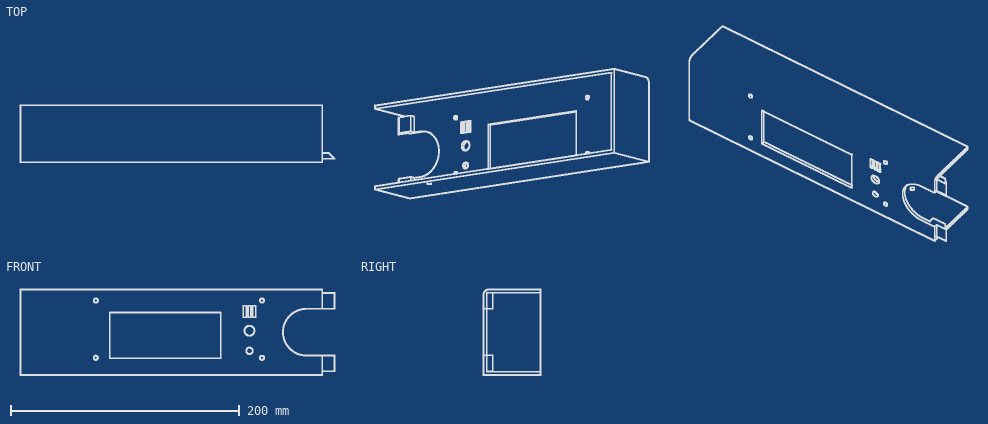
import cadquery as cq

total_length = 275.0
depth = 50.0
height = 75.0
wall = 3.0
edge_radius = 5.0
mid_height = height / 2

tab_reach = 10.7
tab_inset = 7.5
tab_thickness = 5.2
tab_height = 14.0
body_length = total_length - tab_reach

notch_radius = 20.3
notch_center_x = 250.2

window_left = 78.5
window_bottom = 14.8
window_length = 96.8
window_height = 40.0
screw_diameter = 3.5
screw_columns = (66.0, 211.5)
screw_rows = (15.0, 65.2)

floor_screw_y = 40.5

controls_x = 200.5
button_diameter = 8.5
button_z = 38.8
lamp_diameter = 5.5
lamp_z = 21.2
slot_width = 2.5
slot_height = 10.0
slot_pitch = 4.0
slot_z = 55.5
slot_count = 3


def box(x, y, z, length, width, tall):
    """Box with its minimum corner at (x, y, z)."""
    return cq.Workplane("XY").box(length, width, tall, centered=False).translate((x, y, z))


def front_cutter(x, z, diameter):
    """Round cutter through the front wall only."""
    return cq.Workplane("XZ").center(x, z).circle(diameter / 2).extrude(-wall)


def make_shell():
    outer = box(0, 0, 0, body_length, depth, height)
    outer = outer.edges("|X and <Y and >Z").fillet(edge_radius)
    cavity = box(wall, wall, wall, body_length, depth, height - 2 * wall)
    cavity = cavity.edges("|X and <Y and >Z").fillet(edge_radius - wall)
    return outer.cut(cavity)


def make_tab(bottom):
    """Snap tab with a bevelled tip, flush with the inside of the front wall."""
    start = body_length - tab_inset
    back = wall + tab_thickness
    return (
        cq.Workplane("XY", origin=(0, 0, bottom))
        .moveTo(start, wall)
        .lineTo(total_length, wall)
        .lineTo(total_length - tab_thickness, back)
        .lineTo(start, back)
        .close()
        .extrude(tab_height)
    )


def make_notch():
    round_end = front_cutter(notch_center_x, mid_height, 2 * notch_radius)
    opening = box(
        notch_center_x, 0, mid_height - notch_radius,
        body_length - notch_center_x, wall, 2 * notch_radius,
    )
    return round_end.union(opening)


result = make_shell().cut(make_notch())

result = result.cut(box(window_left, 0, window_bottom, window_length, wall, window_height))

for screw_x in screw_columns:
    for screw_z in screw_rows:
        result = result.cut(front_cutter(screw_x, screw_z, screw_diameter))

result = result.cut(front_cutter(controls_x, button_z, button_diameter))
result = result.cut(front_cutter(controls_x, lamp_z, lamp_diameter))

for index in range(slot_count):
    slot_x = controls_x + (index - (slot_count - 1) / 2) * slot_pitch
    slot_left = slot_x - slot_width / 2
    slot_bottom = slot_z - slot_height / 2
    result = result.cut(box(slot_left, 0, slot_bottom, slot_width, wall, slot_height))

result = result.union(make_tab(mid_height - notch_radius - tab_height))
result = result.union(make_tab(mid_height + notch_radius))

floor_hole = (
    cq.Workplane("XY")
    .center(screw_columns[1], floor_screw_y)
    .circle(screw_diameter / 2)
    .extrude(wall)
)
result = result.cut(floor_hole)